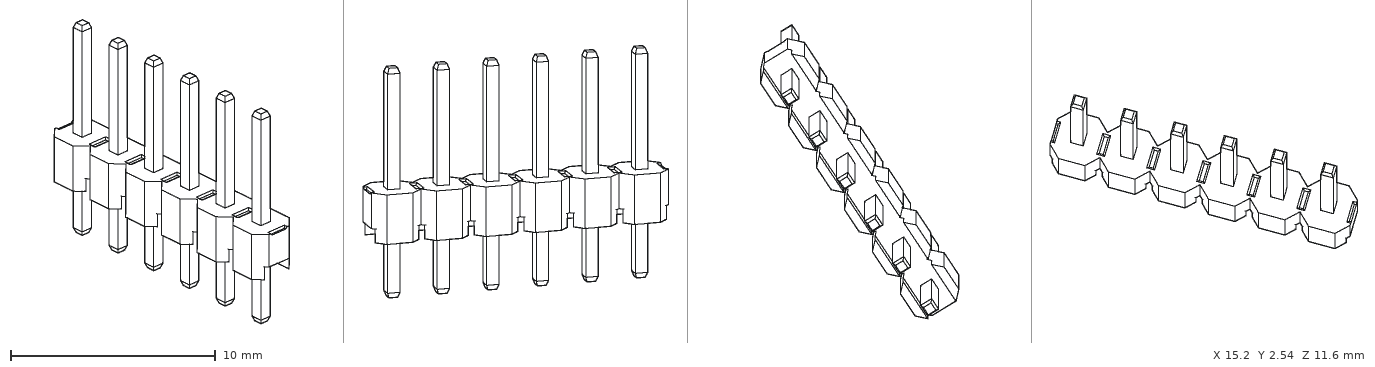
import cadquery as cq

pin_count = 6
pitch = 2.54

housing_height = 2.5
corner_chamfer = 0.6
channel_width = 1.64
channel_depth = 0.7

mark_length = 1.1
mark_width = 0.4
mark_depth = 0.1
mark_wall_inset = 0.1

pin_width = 0.64
pin_tip_width = 0.44
pin_taper_height = 0.27
pin_length = 11.6
pin_tail = 3.0

row_length = pin_count * pitch
pin_positions = [((i - (pin_count - 1) / 2) * pitch, 0) for i in range(pin_count)]
joint_positions = [((i - pin_count / 2) * pitch, 0) for i in range(pin_count + 1)]


def make_blocks():
    """Row of octagonal blocks joined along their side faces."""
    return (
        cq.Workplane("XY")
        .pushPoints(pin_positions)
        .rect(pitch, pitch)
        .extrude(housing_height, combine=False)
        .edges("|Z")
        .chamfer(corner_chamfer)
        .combine()
    )


def make_channel():
    """Straight channel running the full length of the underside."""
    return cq.Workplane("XY").box(
        row_length, channel_width, channel_depth, centered=(True, True, False)
    )


def make_mark(position):
    """Recess with sloping walls, narrowing downwards from the top face."""
    floor_width = mark_width - 2 * mark_wall_inset
    floor_length = mark_length - 2 * mark_wall_inset
    return (
        cq.Workplane("XY", origin=(*position, housing_height))
        .rect(mark_width, mark_length)
        .workplane(offset=-mark_depth)
        .rect(floor_width, floor_length)
        .loft(ruled=True)
    )


def make_tip(base_plane, direction):
    """Tapered pin tip starting on base_plane and pointing up (+1) or down (-1)."""
    return (
        base_plane
        .rect(pin_width, pin_width)
        .workplane(offset=direction * pin_taper_height)
        .rect(pin_tip_width, pin_tip_width)
        .loft(ruled=True)
    )


def make_pin(position):
    """Square pin through the housing, tapered at both ends."""
    shank_bottom = pin_taper_height - pin_tail
    shank_top = pin_length - pin_tail - pin_taper_height
    lower_end = cq.Workplane("XY", origin=(*position, shank_bottom))
    upper_end = cq.Workplane("XY", origin=(*position, shank_top))
    shank = lower_end.rect(pin_width, pin_width).extrude(shank_top - shank_bottom)
    return shank.union(make_tip(lower_end, -1)).union(make_tip(upper_end, 1))


housing = make_blocks().cut(make_channel())
for joint in joint_positions:
    housing = housing.cut(make_mark(joint))

result = housing
for pin_position in pin_positions:
    result = result.union(make_pin(pin_position))